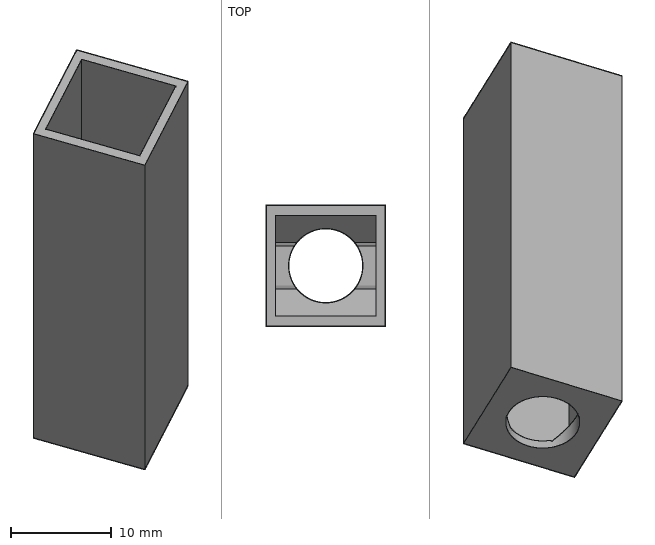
import cadquery as cq
import math

width = 11.85
depth = 12.0
height = 45.0
bore = 10.0

floor_thickness = 1.0
hole_diameter = 7.35
bank_run = 2.7
bank_angle = 45.0
strip_width = 0.3
rear_strip_angle = 19.5
front_strip_angle = 17.5


def rise(run, angle):
    """Height gained by an incline over a horizontal run."""
    return run * math.tan(math.radians(angle))


def make_cavity():
    """Square bore whose lower end follows the trough-shaped floor."""
    half = bore / 2
    bank_foot = half - bank_run
    seat_edge = bank_foot - strip_width
    bank_rise = rise(bank_run, bank_angle)
    rear_foot_z = floor_thickness + rise(strip_width, rear_strip_angle)
    front_foot_z = floor_thickness - rise(strip_width, front_strip_angle)
    profile = [
        (-half, height),
        (-half, front_foot_z + bank_rise),
        (-bank_foot, front_foot_z),
        (-seat_edge, floor_thickness),
        (seat_edge, floor_thickness),
        (bank_foot, rear_foot_z),
        (half, rear_foot_z + bank_rise),
        (half, height),
    ]
    return cq.Workplane("YZ").polyline(profile).close().extrude(half, both=True)


tube = cq.Workplane("XY").box(width, depth, height, centered=(True, True, False))
outlet = cq.Workplane("XY").circle(hole_diameter / 2).extrude(height)
result = tube.cut(make_cavity()).cut(outlet)